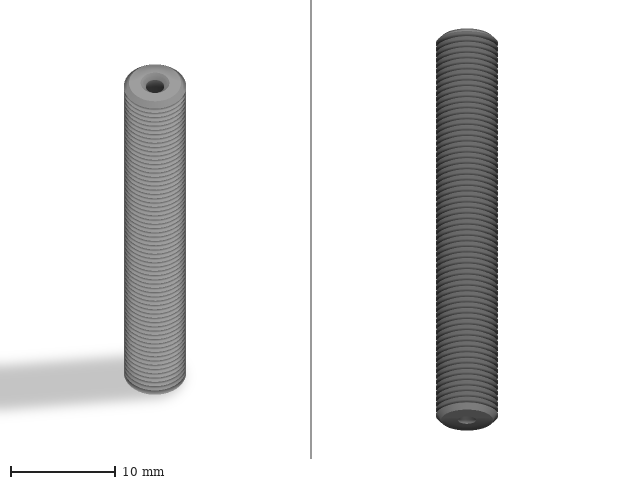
import cadquery as cq

length = 40.0
outer_diameter = 6.0
end_chamfer = 0.5

groove_count = 67
groove_depth = 0.5

bore_diameter = 1.75
lead_in_depth = 0.5

outer_radius = outer_diameter / 2
root_radius = outer_radius - groove_depth
chamfer_radius = outer_radius - end_chamfer
bore_radius = bore_diameter / 2
lead_in_radius = bore_radius + lead_in_depth
pitch = (length - 2 * end_chamfer) / groove_count


def thread_points():
    """Root and crest of each groove, from the bottom chamfer up to the top one."""
    points = []
    for index in range(groove_count):
        groove_bottom = end_chamfer + index * pitch
        points.append((root_radius, groove_bottom + pitch / 2))
        points.append((outer_radius, groove_bottom + pitch))
    return points


def make_tube():
    """Half section of the tube, revolved about the Z axis."""
    profile = [
        (bore_radius, 0),
        (chamfer_radius, 0),
        (outer_radius, end_chamfer),
        *thread_points(),
        (chamfer_radius, length),
        (lead_in_radius, length),
        (bore_radius, length - lead_in_depth),
    ]
    return cq.Workplane("XZ").polyline(profile).close().revolve(360, (0, 0, 0), (0, 1, 0))


tube = make_tube()
result = cq.Compound.makeCompound([tube.val()])